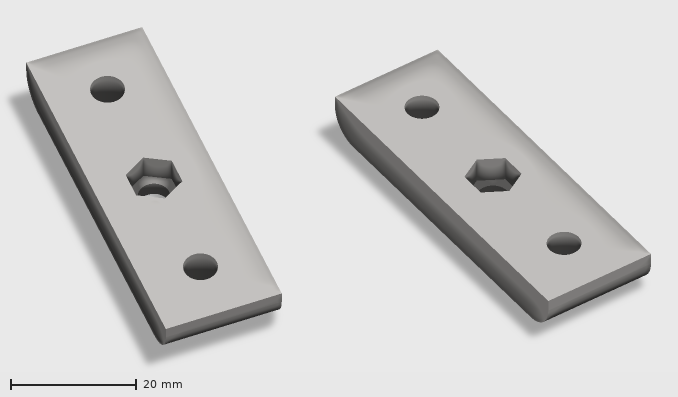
import cadquery as cq

length = 60.0
width = 20.0
height = 7.0

end_radius = 5.0

side_hole_diameter = 5.6
side_hole_spacing = 2 * width
centre_hole_diameter = 5.2

nut_corner_width = 9.2
nut_pocket_depth = 4.5


def rounded_block():
    """Flat-topped bar with its two lower end edges rounded, underside at Z = 0."""
    block = cq.Workplane("XY").box(length, width, height, centered=(True, True, False))
    return block.edges("|Y and <Z").fillet(end_radius)


def through_holes(positions, diameter):
    """Vertical cutters running the full height of the bar."""
    return cq.Workplane("XY").pushPoints(positions).circle(diameter / 2).extrude(height)


def nut_pocket():
    """Hexagonal cutter sunk from the top face."""
    top = cq.Workplane("XY").workplane(offset=height)
    return top.polygon(6, nut_corner_width).extrude(-nut_pocket_depth)


side_positions = [(side * side_hole_spacing / 2, 0) for side in (-1, 1)]

result = (
    rounded_block()
    .cut(through_holes(side_positions, side_hole_diameter))
    .cut(through_holes([(0, 0)], centre_hole_diameter))
    .cut(nut_pocket())
)